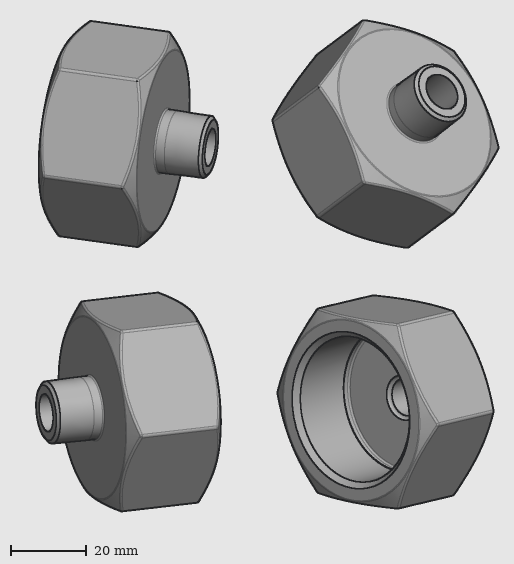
import cadquery as cq
import math

hexagon_sides = 6
across_flats = 50.0
nut_length = 27.0
side_edge_radius = 1.0
scallop_edge_radius = 0.7
corner_chamfer_angle = 30.0
end_face_diameter = 48.6
face_edge_radius = 0.6

socket_diameter = 38.95
socket_depth = 20.5
socket_mouth_diameter = 42.0
socket_mouth_angle = 45.0
relief_diameter = 39.15
relief_length = 2.0
relief_floor_radius = 0.5

overall_length = 40.0
spigot_diameter = 16.89
spigot_straight_length = 2.8
spigot_tip_diameter = 16.6
spigot_end_diameter = 14.7
spigot_end_chamfer_length = 0.8
spigot_root_radius = 0.4

passage_diameter = 10.0
passage_inlet_radius = 1.0


def revolve_about_x(profile):
    """Revolve a closed (x, radius) profile fully about the X axis."""
    return profile.close().revolve(360, (0, 0, 0), (1, 0, 0))


def make_nut():
    """Hexagonal prism with conical corner chamfers on both ends and rounded edges."""
    across_corners = across_flats / math.cos(math.pi / hexagon_sides)
    prism = cq.Workplane("YZ").polygon(hexagon_sides, across_corners).extrude(nut_length)
    prism = prism.edges("|X").fillet(side_edge_radius)

    face_radius = end_face_diameter / 2
    outer_radius = across_corners / 2 + side_edge_radius
    cone_length = (outer_radius - face_radius) * math.tan(math.radians(corner_chamfer_angle))
    double_cone = revolve_about_x(
        cq.Workplane("XY")
        .lineTo(0, face_radius)
        .lineTo(cone_length, outer_radius)
        .lineTo(nut_length - cone_length, outer_radius)
        .lineTo(nut_length, face_radius)
        .lineTo(nut_length, 0)
    )
    double_cone = double_cone.faces("<X or >X").edges().fillet(face_edge_radius)
    nut = prism.intersect(double_cone)

    return nut.edges("%HYPERBOLA or %BSPLINE").fillet(scallop_edge_radius)


def make_spigot():
    """Spigot with a filleted straight root, a slight taper and a chamfered tip, starting inside the nut."""
    taper_start = nut_length + spigot_straight_length
    root_radius = spigot_diameter / 2 + spigot_root_radius
    tip = overall_length - spigot_end_chamfer_length
    return revolve_about_x(
        cq.Workplane("XY")
        .moveTo(socket_depth, 0)
        .lineTo(socket_depth, root_radius)
        .lineTo(nut_length, root_radius)
        .radiusArc((nut_length + spigot_root_radius, spigot_diameter / 2), -spigot_root_radius)
        .lineTo(taper_start, spigot_diameter / 2)
        .lineTo(tip, spigot_tip_diameter / 2)
        .lineTo(overall_length, spigot_end_diameter / 2)
        .lineTo(overall_length, 0)
    )


def make_socket():
    """Blind socket with a conical mouth and a shallow relief groove with a rounded floor corner."""
    mouth_radius = socket_mouth_diameter / 2
    mouth_depth = (mouth_radius - socket_diameter / 2) / math.tan(math.radians(socket_mouth_angle))
    relief_start = socket_depth - relief_length
    socket = revolve_about_x(
        cq.Workplane("XY")
        .lineTo(0, mouth_radius)
        .lineTo(mouth_depth, socket_diameter / 2)
        .lineTo(relief_start, socket_diameter / 2)
        .lineTo(relief_start, relief_diameter / 2)
        .lineTo(socket_depth, relief_diameter / 2)
        .lineTo(socket_depth, 0)
    )
    return socket.faces(">X").edges().fillet(relief_floor_radius)


def make_passage():
    """Through hole with a rounded inlet at the socket floor."""
    hole_radius = passage_diameter / 2
    inlet_end = socket_depth + passage_inlet_radius
    return revolve_about_x(
        cq.Workplane("XY")
        .moveTo(socket_depth, 0)
        .lineTo(socket_depth, hole_radius + passage_inlet_radius)
        .radiusArc((inlet_end, hole_radius), passage_inlet_radius)
        .lineTo(overall_length, hole_radius)
        .lineTo(overall_length, 0)
    )


body = make_nut().union(make_spigot())
result = body.cut(make_socket()).cut(make_passage())